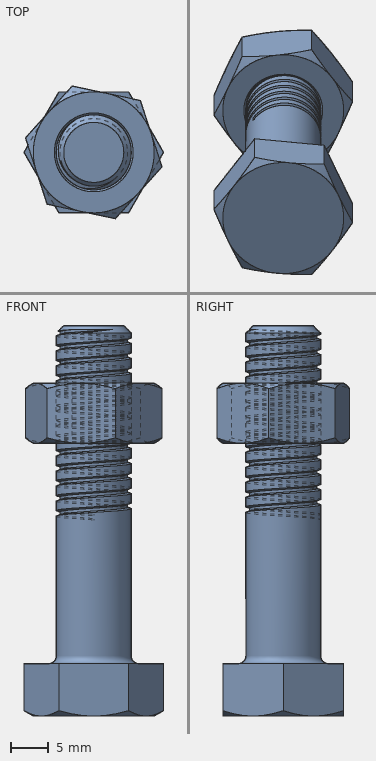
import cadquery as cq
import math

corner_diameter = 18.6
across_flats = corner_diameter * math.cos(math.radians(30))
corner_bevel_angle = 30

head_height = 7
bolt_length = 52
shank_radius = 5
shank_fillet = 1
tip_chamfer = 1

thread_pitch = 2
thread_runout_z = 26.5
thread_start_angle = 90
groove_width = 0.75
groove_root_width = 0.38
groove_depth = 0.5

nut_height = 8
nut_base_z = 36.33
nut_turn = 48
nut_countersink = 0.25


def bevel_cone(flat_z, direction):
    """Solid whose cone trims hexagon corners at flat_z; it widens along direction (+1 or -1)."""
    flat_radius = across_flats / 2
    cone_rise = corner_diameter / 2
    cone_run = cone_rise / math.tan(math.radians(corner_bevel_angle))
    cone_end_z = flat_z + direction * cone_rise
    return (
        cq.Workplane("XZ")
        .moveTo(0, flat_z)
        .lineTo(flat_radius, flat_z)
        .lineTo(flat_radius + cone_run, cone_end_z)
        .lineTo(0, cone_end_z)
        .close()
        .revolve(360, (0, 0, 0), (0, 1, 0))
    )


def hexagon_prism(height):
    """Hexagonal prism standing on Z = 0 with two corners on the X axis."""
    return cq.Workplane("XY").polygon(6, corner_diameter).extrude(height)


def make_thread_groove():
    """Flat-rooted right-hand helical groove that runs out through the bolt tip."""
    groove_length = bolt_length + thread_pitch - thread_runout_z
    helix = cq.Wire.makeHelix(thread_pitch, groove_length, shank_radius)
    overshoot = 0.2
    flank_slope = (groove_width - groove_root_width) / 2 / groove_depth
    root_half_width = groove_root_width / 2
    outer_half_width = groove_width / 2 + flank_slope * overshoot
    profile = (
        cq.Workplane("XZ")
        .moveTo(shank_radius - groove_depth, -root_half_width)
        .lineTo(shank_radius - groove_depth, root_half_width)
        .lineTo(shank_radius + overshoot, outer_half_width)
        .lineTo(shank_radius + overshoot, -outer_half_width)
        .close()
    )
    return (
        profile.sweep(cq.Workplane(helix), isFrenet=True)
        .rotate((0, 0, 0), (0, 0, 1), thread_start_angle)
        .translate((0, 0, thread_runout_z))
    )


def make_shank():
    """Threaded shank with a flared foot inside the head and a chamfered tip."""
    foot_radius = shank_radius + shank_fillet
    shank = (
        cq.Workplane("XZ")
        .lineTo(foot_radius, 0)
        .lineTo(foot_radius, head_height)
        .radiusArc((shank_radius, head_height + shank_fillet), shank_fillet)
        .lineTo(shank_radius, bolt_length)
        .lineTo(0, bolt_length)
        .close()
        .revolve(360, (0, 0, 0), (0, 1, 0))
        .rotate((0, 0, 0), (0, 0, 1), thread_start_angle)
    )
    tip_radius = shank_radius - tip_chamfer
    tip_cone = (
        cq.Workplane("XZ")
        .lineTo(tip_radius + bolt_length, 0)
        .lineTo(tip_radius, bolt_length)
        .lineTo(0, bolt_length)
        .close()
        .revolve(360, (0, 0, 0), (0, 1, 0))
    )
    return shank.cut(make_thread_groove()).intersect(tip_cone)


def make_bolt():
    """Hexagon head, bevelled on its underside, joined to the threaded shank."""
    head = hexagon_prism(head_height).intersect(bevel_cone(0, 1))
    return head.union(make_shank())


def make_nut():
    """Hexagon nut, bevelled at both ends, with a countersunk bore that fits the shank."""
    blank = (
        hexagon_prism(nut_height)
        .intersect(bevel_cone(0, 1))
        .intersect(bevel_cone(nut_height, -1))
    )
    bore = cq.Workplane("XY").circle(shank_radius).extrude(nut_height)
    nut = blank.cut(bore)
    nut = nut.edges(cq.selectors.RadiusNthSelector(0)).chamfer(nut_countersink)
    return nut.rotate((0, 0, 0), (0, 0, 1), nut_turn).translate((0, 0, nut_base_z))


bolt = make_bolt()
nut = make_nut()

result = cq.Compound.makeCompound([*bolt.solids().vals(), *nut.solids().vals()])